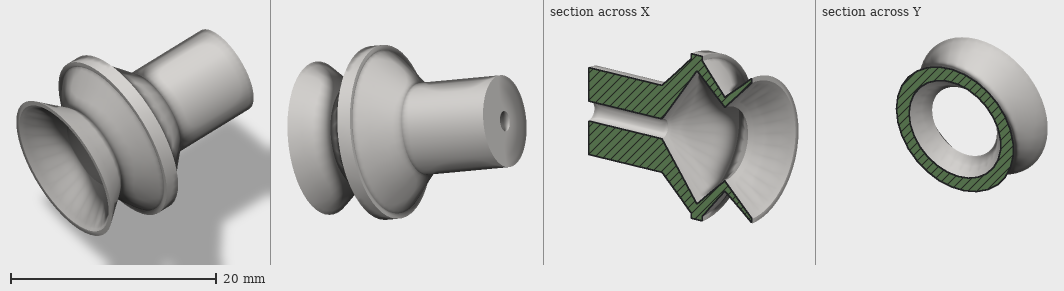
import cadquery as cq

total_length = 20.0
throat_y = 3.35
flange_front_y = 6.05
flange_thickness = 1.4
flange_back_y = flange_front_y + flange_thickness
neck_length = 9.0
neck_y = total_length - neck_length

mouth_radius = 15.0 / 2
throat_radius = 4.85
fold_radius = 7.98
flange_radius = 17.0 / 2
neck_radius = 9.0 / 2

mouth_inner_radius = 7.0
throat_inner_radius = 3.75
bore_radius = 2.0 / 2
fold_inner_radius = 6.85
fold_inner_y = flange_front_y + flange_thickness / 2


def revolve_about_y(points):
    """Revolve a closed (radius, y) outline a full turn about the Y axis."""
    return cq.Workplane("XY").polyline(points).close().revolve(360, (0, 0, 0), (0, 1, 0))


def outer_body():
    return revolve_about_y([
        (0, 0),
        (mouth_radius, 0),
        (throat_radius, throat_y),
        (fold_radius, flange_front_y),
        (flange_radius, flange_front_y),
        (flange_radius, flange_back_y),
        (fold_radius, flange_back_y),
        (neck_radius, neck_y),
        (neck_radius, total_length),
        (0, total_length),
    ])


def inner_cavity():
    """Conical mouth, narrow throat, hollow fold and the bore through the neck."""
    return revolve_about_y([
        (0, 0),
        (mouth_inner_radius, 0),
        (throat_inner_radius, throat_y),
        (fold_inner_radius, fold_inner_y),
        (bore_radius, neck_y),
        (bore_radius, total_length),
        (0, total_length),
    ])


result = outer_body().cut(inner_cavity())